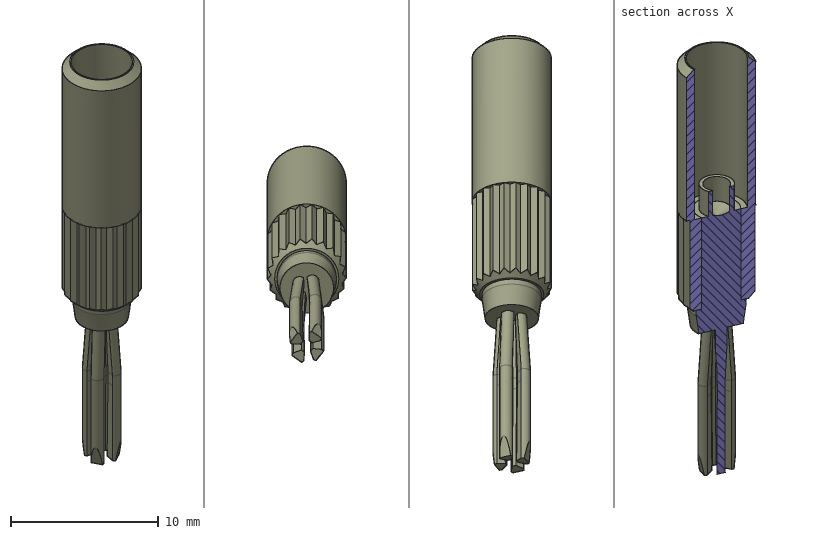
import cadquery as cq
import math

TOTAL_LENGTH = 32.5
KNURL_TOP = 20.65
HOUSING_BOTTOM = 13.4
COLLAR_TAPER_TOP = 13.0
COLLAR_BOTTOM = 11.5
BAND_TOP = 7.05
BAND_BOTTOM = 6.2

HOUSING_RADIUS = 2.7
TOP_CHAMFER = 0.52
BOTTOM_CHAMFER = 0.52
BORE_RADIUS = 2.08
BORE_FLOOR = KNURL_TOP
TOOTH_COUNT = 21
TOOTH_DEPTH = 0.25
FIRST_TOOTH_ANGLE = -90.0

SHANK_RADIUS = 1.62
CUP_RADIUS = 1.2
CUP_HEIGHT = 1.95
CUP_HOLE_RADIUS = 0.95
CUP_HOLE_DEPTH = CUP_HEIGHT
DRILL_POINT_ANGLE = 118.0
DRILL_TIP_HEIGHT = CUP_HOLE_RADIUS / math.tan(math.radians(DRILL_POINT_ANGLE / 2))
COLLAR_RADIUS = 2.0
COLLAR_END_RADIUS = 1.82

PRONG_COUNT = 4
PRONG_HALF_WIDTH = 0.45
PRONG_ROOT_CENTER = 0.62
PRONG_CENTER = 0.9
INNER_HALF_WIDTH = 0.13
ROOT_INNER_REACH = 0.32
BAND_INNER_REACH = 0.5
TIP_INNER_REACH = 0.42
PRONG_REACH = PRONG_CENTER + PRONG_HALF_WIDTH
TIP_REACH = 1.1
TIP_FLAT_HEIGHT = 1.5
TIP_RISE = 0.1


def revolve_profile(points):
    """Turn a closed outline of (radius, height) points about the Z axis."""
    return cq.Workplane("XZ").polyline(points).close().revolve(360, (0, 0), (0, 1))


def make_groove_cutter():
    """V-shaped prism, centred on +X, that separates two neighbouring knurl teeth."""
    half_pitch = math.pi / TOOTH_COUNT
    peak_x = HOUSING_RADIUS * math.cos(half_pitch)
    peak_y = HOUSING_RADIUS * math.sin(half_pitch)
    root_x = HOUSING_RADIUS - TOOTH_DEPTH
    outer_x = HOUSING_RADIUS + TOOTH_DEPTH
    outer_y = peak_y * (outer_x - root_x) / (peak_x - root_x)
    return (
        cq.Workplane("XY", origin=(0, 0, HOUSING_BOTTOM))
        .polyline([(root_x, 0), (outer_x, outer_y), (outer_x, -outer_y)])
        .close()
        .extrude(KNURL_TOP - HOUSING_BOTTOM)
    )


def make_housing():
    """Chamfered sleeve with a knurled grip and a floor that holds the contact's shank."""
    housing = revolve_profile([
        (SHANK_RADIUS, HOUSING_BOTTOM),
        (HOUSING_RADIUS - BOTTOM_CHAMFER, HOUSING_BOTTOM),
        (HOUSING_RADIUS, HOUSING_BOTTOM + BOTTOM_CHAMFER),
        (HOUSING_RADIUS, TOTAL_LENGTH - TOP_CHAMFER),
        (HOUSING_RADIUS - TOP_CHAMFER, TOTAL_LENGTH),
        (BORE_RADIUS, TOTAL_LENGTH),
        (BORE_RADIUS, BORE_FLOOR),
        (SHANK_RADIUS, BORE_FLOOR),
    ])
    groove = make_groove_cutter()
    pitch = 360.0 / TOOTH_COUNT
    for index in range(TOOTH_COUNT):
        angle = FIRST_TOOTH_ANGLE + (index + 0.5) * pitch
        housing = housing.cut(groove.rotate((0, 0, 0), (0, 0, 1), angle))
    return housing


def draw_prong_section(workplane, center, inner_reach):
    """Prong outline on +X: a half circle about the given centre, narrowing to the inner flat."""
    return (
        workplane.moveTo(inner_reach, -INNER_HALF_WIDTH)
        .lineTo(center, -PRONG_HALF_WIDTH)
        .threePointArc((center + PRONG_HALF_WIDTH, 0), (center, PRONG_HALF_WIDTH))
        .lineTo(inner_reach, INNER_HALF_WIDTH)
        .close()
    )


def loft_prong_length(bottom, bottom_section, top, top_section):
    """Length of prong between two heights, each with its section (centre, inner reach)."""
    base = cq.Workplane("XY", origin=(0, 0, bottom))
    lower = draw_prong_section(base, *bottom_section)
    upper = draw_prong_section(lower.workplane(offset=top - bottom), *top_section)
    return upper.loft(ruled=True)


def make_tip_cutter():
    """Prism that cuts the sloping outer flat and the end face, which rises toward the axis."""
    return (
        cq.Workplane("XZ")
        .polyline([
            (TIP_INNER_REACH, TIP_RISE),
            (TIP_REACH, 0),
            (PRONG_REACH, TIP_FLAT_HEIGHT),
            (PRONG_REACH, -TIP_RISE),
            (TIP_INNER_REACH, -TIP_RISE),
        ])
        .close()
        .extrude(PRONG_HALF_WIDTH, both=True)
    )


def make_prong():
    """Prong on +X: flared below the collar, then a short straight band, then the tip."""
    root = (PRONG_ROOT_CENTER, ROOT_INNER_REACH)
    band = (PRONG_CENTER, BAND_INNER_REACH)
    tip = (PRONG_CENTER, TIP_INNER_REACH)
    flare = loft_prong_length(BAND_TOP, band, COLLAR_BOTTOM, root)
    straight = loft_prong_length(BAND_BOTTOM, band, BAND_TOP, band)
    tip_length = loft_prong_length(0, tip, BAND_BOTTOM, band)
    return tip_length.cut(make_tip_cutter()).union(straight).union(flare)


def make_contact():
    """Solder cup, shank and tapered collar in one turned piece, with four prongs below."""
    cup_top = BORE_FLOOR + CUP_HEIGHT
    hole_bottom = cup_top - CUP_HOLE_DEPTH
    contact = revolve_profile([
        (0, COLLAR_BOTTOM),
        (COLLAR_END_RADIUS, COLLAR_BOTTOM),
        (COLLAR_RADIUS, COLLAR_TAPER_TOP),
        (COLLAR_RADIUS, HOUSING_BOTTOM),
        (SHANK_RADIUS, HOUSING_BOTTOM),
        (SHANK_RADIUS, BORE_FLOOR),
        (CUP_RADIUS, BORE_FLOOR),
        (CUP_RADIUS, cup_top),
        (CUP_HOLE_RADIUS, cup_top),
        (CUP_HOLE_RADIUS, hole_bottom),
        (0, hole_bottom - DRILL_TIP_HEIGHT),
    ])
    prong = make_prong()
    pitch = 360.0 / PRONG_COUNT
    for index in range(PRONG_COUNT):
        contact = contact.union(prong.rotate((0, 0, 0), (0, 0, 1), index * pitch))
    return contact


housing = make_housing()
contact = make_contact()
result = cq.Compound.makeCompound([housing.val(), contact.val()])